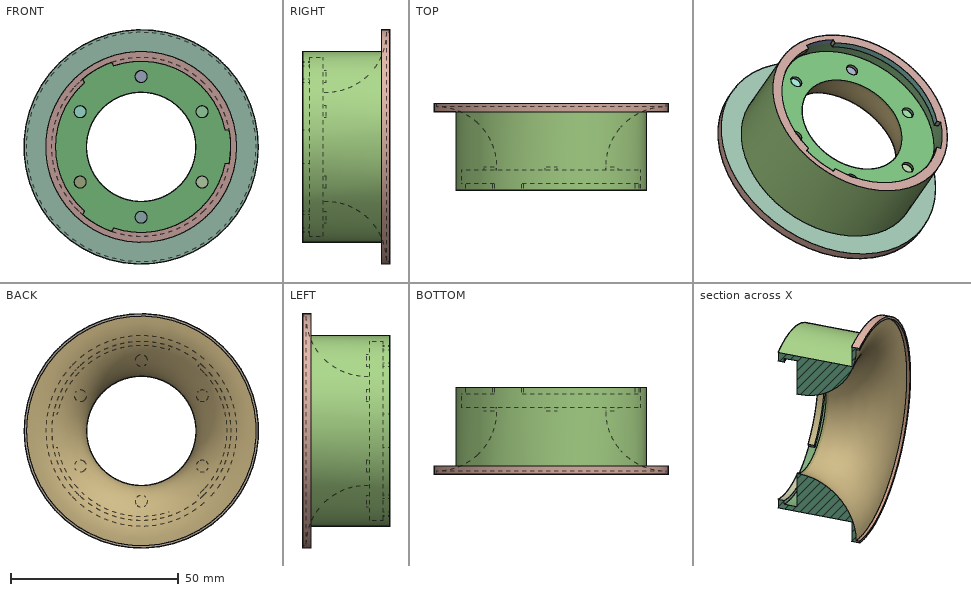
import cadquery as cq
import math

flange_diameter = 70.0
flange_thickness = 2.5
total_length = 26.0
barrel_diameter = 57.0

lip_diameter = 51.1
groove_diameter = 53.5
lip_thickness = 2.0
socket_depth = 6.0
notch_width = 10.0
notch_count = 3

bore_diameter = 32.55
throat_length = 1.0
rear_recess_depth = 1.0

screw_hole_diameter = 3.6
screw_circle_diameter = 42.0
screw_hole_depth = 1.0
screw_hole_count = 6


def cylinder(diameter, start, end):
    """Cylinder about Y, between two distances behind the open end."""
    return (
        cq.Workplane("XZ", origin=(0, start, 0))
        .circle(diameter / 2)
        .extrude(start - end)
    )


def body():
    barrel = cylinder(barrel_diameter, 0, total_length)
    flange = cylinder(flange_diameter, total_length - flange_thickness, total_length)
    return barrel.union(flange)


def bayonet_socket():
    mouth = cylinder(lip_diameter, 0, socket_depth)
    groove = cylinder(groove_diameter, lip_thickness, socket_depth)
    notch = (
        cq.Workplane("XY")
        .box(groove_diameter / 2, socket_depth, notch_width, centered=(False, False, True))
        .intersect(cylinder(groove_diameter, 0, socket_depth))
    )
    socket = mouth.union(groove)
    for index in range(notch_count):
        angle = index * 360 / notch_count
        socket = socket.union(notch.rotate((0, 0, 0), (0, 1, 0), angle))
    return socket


def flared_bore():
    """Revolved bore; the flare is a quarter arc tangent to the throat."""
    bore_radius = bore_diameter / 2
    flare_start = socket_depth + throat_length
    flare_end = total_length - rear_recess_depth
    flare_radius = flare_end - flare_start
    recess_radius = bore_radius + flare_radius
    arc_middle = (
        recess_radius - flare_radius * math.cos(math.pi / 4),
        flare_start + flare_radius * math.sin(math.pi / 4),
    )
    return (
        cq.Workplane("XY")
        .lineTo(bore_radius, 0)
        .lineTo(bore_radius, flare_start)
        .threePointArc(arc_middle, (recess_radius, flare_end))
        .lineTo(recess_radius, total_length)
        .lineTo(0, total_length)
        .close()
        .revolve(360, (0, 0, 0), (0, 1, 0))
    )


def screw_holes():
    return (
        cq.Workplane("XZ", origin=(0, socket_depth, 0))
        .polarArray(screw_circle_diameter / 2, 90, 360, screw_hole_count)
        .circle(screw_hole_diameter / 2)
        .extrude(-screw_hole_depth)
    )


result = body().cut(bayonet_socket()).cut(flared_bore()).cut(screw_holes())